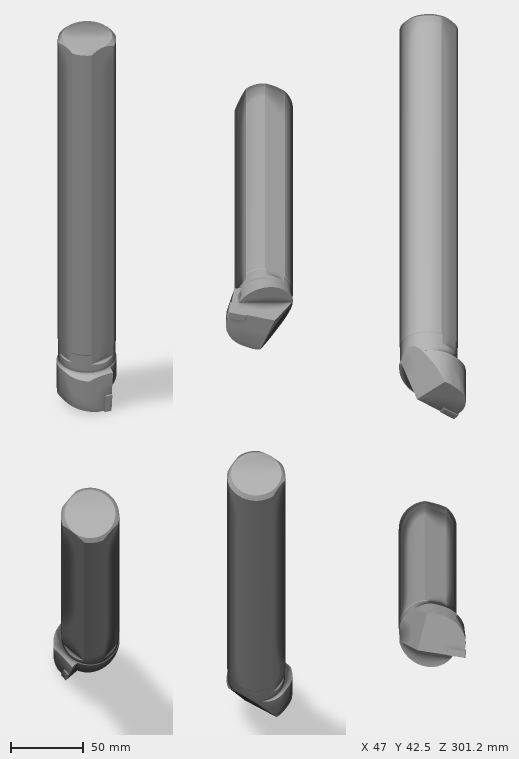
import cadquery as cq
import math


LENGTH = 301.2
OVERALL_X = 47.0
OVERALL_Y = 42.5

SHANK_DIAMETER = 40.0
COLLAR_DIAMETER = 39.5
END_CHAMFER = 2.7
COLLAR_TOP = 45.5
TAPER_HEIGHT = 1.0

FLAT_BOTTOM = 38.3
FLAT_DEPTH_Y = 1.5
FLAT_DEPTH_X = 2.5
FLAT_END_SLOPE = 0.7

SHOULDER_Z = 31.3
SHOULDER_SLOPE = 0.5
BACK_DIAMETER = 40.7
FRONT_FLAT_WIDTH = 5.7
LEFT_ARC_RADIUS = 16.3
LEFT_ARC_ANGLE = 55.7
LEFT_TANGENT_LENGTH = 15.0
RIGHT_ARC_RADIUS = 20.0

RELIEF_TOP_Z = 37.7
RELIEF_ANGLE = 23.0
GULLET_Z = 22.3
GULLET_SLOPE = 0.42

RAKE_SLOPE_X = 0.15
RAKE_SLOPE_Z = 0.11
TIP_Y = 0.5
INSERT_SIDE = 13.0
INSERT_THICKNESS = 4.8
NOSE_RADIUS = 1.0
NOSE_LOSS = 0.1
EDGE_CLEARANCE = 5.0
EDGE_OVERHANG = 1.05

BEYOND = 90.5

shank_radius = SHANK_DIAMETER / 2
collar_radius = COLLAR_DIAMETER / 2
back_radius = BACK_DIAMETER / 2
front_y = back_radius - OVERALL_Y
tip_x = OVERALL_X - shank_radius + NOSE_LOSS

rake_plane = cq.Plane(
    origin=(tip_x, TIP_Y, -NOSE_LOSS),
    xDir=(-1, RAKE_SLOPE_X, 0),
    normal=(RAKE_SLOPE_X, 1, -RAKE_SLOPE_Z),
)


def prism_along_y(points):
    """XZ outline extruded through the whole head in Y."""
    return cq.Workplane("XZ").polyline(points).close().extrude(BEYOND, both=True)


def rake_rhombus(corner, side):
    """Rhombus on the rake face whose two edges from the corner follow the cutting edges."""
    lean = math.radians(EDGE_CLEARANCE)
    long_step = side * math.cos(lean)
    short_step = side * math.sin(lean)
    points = [
        (corner, corner),
        (corner + long_step, corner + short_step),
        (corner + long_step + short_step, corner + long_step + short_step),
        (corner + short_step, corner + long_step),
    ]
    return cq.Workplane(rake_plane).polyline(points).close()


def make_insert():
    blank = rake_rhombus(0, INSERT_SIDE).extrude(-INSERT_THICKNESS)
    corner_edges = cq.selectors.ParallelDirSelector(rake_plane.zDir)
    return blank.edges(corner_edges).fillet(NOSE_RADIUS)


def make_flat_cutter(depth, direction):
    """Cutter for one flat; direction is the angle in degrees from +X that the flat faces."""
    distance = shank_radius - depth
    width = SHANK_DIAMETER
    profile = [
        (distance, FLAT_BOTTOM),
        (distance + width, FLAT_BOTTOM - FLAT_END_SLOPE * width),
        (distance + width, LENGTH),
        (distance, LENGTH),
    ]
    cutter = cq.Workplane("XZ").polyline(profile).close().extrude(width, both=True)
    return cutter.rotate((0, 0, 0), (0, 0, 1), direction)


def make_bar():
    """Shank and collar with the three clamping flats."""
    profile = [
        (0, SHOULDER_Z),
        (collar_radius, SHOULDER_Z),
        (collar_radius, COLLAR_TOP),
        (shank_radius, COLLAR_TOP + TAPER_HEIGHT),
        (shank_radius, LENGTH - END_CHAMFER),
        (shank_radius - END_CHAMFER, LENGTH),
        (0, LENGTH),
    ]
    bar = cq.Workplane("XZ").polyline(profile).close().revolve(360, (0, 0), (0, 1))
    for depth, direction in ((FLAT_DEPTH_X, 0), (FLAT_DEPTH_Y, 90), (FLAT_DEPTH_Y, -90)):
        bar = bar.cut(make_flat_cutter(depth, direction))
    return bar


def make_front_lobe():
    """Part of the head below the rake face, which carries the insert."""
    sweep = math.radians(LEFT_ARC_ANGLE)

    def left_arc_point(angle):
        x = -LEFT_ARC_RADIUS * math.sin(angle)
        return x, front_y + LEFT_ARC_RADIUS * (1 - math.cos(angle))

    left_x, left_y = left_arc_point(sweep)
    tangent_x = left_x - LEFT_TANGENT_LENGTH * math.cos(sweep)
    tangent_y = left_y + LEFT_TANGENT_LENGTH * math.sin(sweep)

    right_x = FRONT_FLAT_WIDTH + RIGHT_ARC_RADIUS
    right_y = front_y + RIGHT_ARC_RADIUS
    half_way = RIGHT_ARC_RADIUS * math.sqrt(0.5)

    outline = (
        cq.Workplane("XY")
        .moveTo(0, front_y)
        .lineTo(FRONT_FLAT_WIDTH, front_y)
        .threePointArc((FRONT_FLAT_WIDTH + half_way, right_y - half_way), (right_x, right_y))
        .lineTo(right_x, back_radius)
        .lineTo(tangent_x, back_radius)
        .lineTo(tangent_x, tangent_y)
        .lineTo(left_x, left_y)
        .threePointArc(left_arc_point(sweep / 2), (0, front_y))
        .close()
    )
    rake_block = rake_rhombus(EDGE_OVERHANG, BEYOND).extrude(-BEYOND)
    return outline.extrude(BEYOND).intersect(rake_block)


def make_back():
    """Part of the head above the gullet roof, behind the rake face."""
    roof_rise = GULLET_SLOPE * BEYOND
    above_gullet = prism_along_y([
        (-BEYOND, GULLET_Z + roof_rise),
        (BEYOND, GULLET_Z - roof_rise),
        (BEYOND, BEYOND),
    ])
    above_rake = cq.Workplane(rake_plane).rect(2 * BEYOND, 2 * BEYOND).extrude(BEYOND)
    disc = cq.Workplane("XY").circle(back_radius).extrude(BEYOND)
    return disc.intersect(above_gullet).intersect(above_rake)


def make_shoulder_limit():
    """Space below the conical shoulder of the head."""
    rim_z = SHOULDER_Z - SHOULDER_SLOPE * (BEYOND - collar_radius)
    profile = [
        (0, -BEYOND),
        (BEYOND, -BEYOND),
        (BEYOND, rim_z),
        (collar_radius, SHOULDER_Z),
        (0, SHOULDER_Z),
    ]
    return cq.Workplane("XZ").polyline(profile).close().revolve(360, (0, 0), (0, 1))


def make_relief_cutter():
    """Wedge that slants the -X side of the head and collar."""
    foot_z = RELIEF_TOP_Z - BEYOND
    foot_x = -shank_radius + BEYOND * math.tan(math.radians(RELIEF_ANGLE))
    return prism_along_y([
        (-shank_radius, RELIEF_TOP_Z),
        (foot_x, foot_z),
        (-BEYOND, foot_z),
        (-BEYOND, RELIEF_TOP_Z),
    ])


insert = make_insert()

head = make_front_lobe().union(make_back()).intersect(make_shoulder_limit())
holder = make_bar().union(head).cut(make_relief_cutter())
holder = holder.cut(insert)

result = cq.Compound.makeCompound([holder.val(), insert.val()])